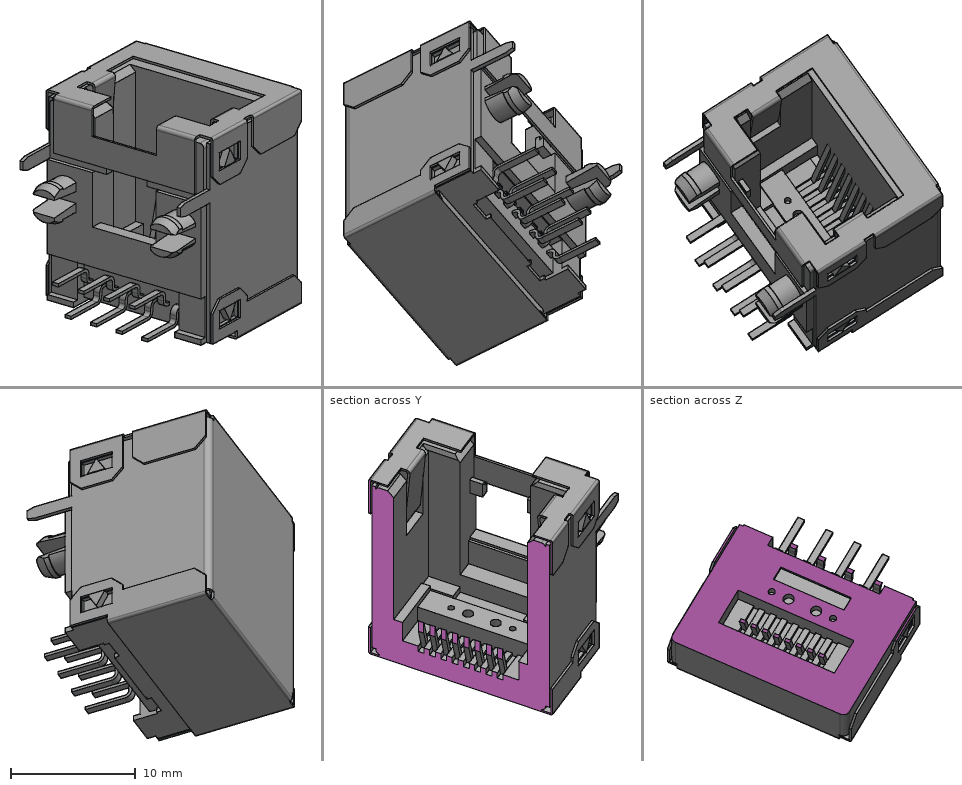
import cadquery as cq
import math


WIDTH = 16.6
HALF_WIDTH = WIDTH / 2
HEIGHT = 18.8
BACK = 13.05
LEAD_TIP = -3.25
OVERSHOOT = 0.19

SHEET = 0.2
BEND_RADIUS = 0.23
WALL_OUTER = 7.99
WALL_INNER = 7.65
WALL_BOTTOM = 0.75
WALL_TOP = 18.24
WALL_FRONT = 0.73
WALL_CORNER_RADIUS = 0.56
PLATE_BACK = 12.78
BACK_TAB_HALF = 7.31
BOTTOM_PLATE_FRONT = 4.05

FLAP_CHAMFER = 0.98
FRONT_FLAP_BACK = 5.41
REAR_FLAP_FRONT = 6.28
UPPER_FRONT_FLAP_END = 14.42
UPPER_REAR_FLAP_END = 15.12
LOWER_FRONT_FLAP_END = 4.36
LOWER_REAR_FLAP_END = 2.88
FLAP_GAP_DEPTH = 0.35

LATCH_CENTER_Y = 3.06
LATCH_WIDTH = 2.82
LATCH_HEIGHT = 1.6
UPPER_LATCH_BOTTOM = 15.65
LOWER_LATCH_TOP = 3.37
BARB_HALF_WIDTH = 0.77
UPPER_BARB_BASE = 15.72
LOWER_BARB_BASE = 3.35
BARB_HEIGHT = 1.33

APRON_HALF = 7.01
APRON_BOTTOM = 13.8
APRON_BEND = 0.32
APRON_NOTCH_HALF = 3.21
APRON_NOTCH_BOTTOM = 16.25

TAB_TOP = 14.21
TAB_BOTTOM = 13.05
TAB_TAPER_LENGTH = 0.65
TAB_TAPER = 0.2

OPENING_HALF = 6.56
OPENING_FRONT = 2.61
OPENING_BACK = 10.17
CAVITY_HALF = 6.0
CAVITY_FRONT = 2.84
CAVITY_BACK = 9.75
CAVITY_FLOOR = 4.6
SHELF_FLOOR = 4.32
FRONT_LEAD_IN_BOTTOM = 17.88
SIDE_LEAD_IN_BOTTOM = 17.71

TONGUE_FRONT = 3.9
TONGUE_BACK = 6.65
TONGUE_EDGE = 6.07
TONGUE_BEND = 0.34
TONGUE_BOTTOM = 12.78
TONGUE_SPREAD = 0.47
TONGUE_SLOT_DEPTH = 0.75
TONGUE_SLOT_BOTTOM = 11.85
TONGUE_CLEARANCE = 0.08

HOUSING_BACK = BACK - SHEET
HOUSING_CORNER_RADIUS = 0.38
UPPER_FACE = 0.38
STEP_TOP = 13.08
STEP_BOTTOM = 4.81
LOWER_FACE = 0.58
FOOT_TOP = 1.25
BASE_CORNER_RADIUS = 0.53

CHANNEL_HALF = 3.15
CHANNEL_BOTTOM = 8.31
CHANNEL_WALL = 1.13
CHANNEL_PIT_FRONT = 1.35
CHANNEL_PIT_BOTTOM = 5.64
SILL_BOTTOM = 8.08
TROUGH_BOTTOM = 3.76
CORNER_BLOCK_INNER = 2.01
CORNER_BLOCK_TOP = 14.1
CORNER_BLOCK_STEP = 0.38

WELL_HALF = 5.2
WELL_FRONT = 4.1
WELL_STEP = 6.35
WELL_FLOOR = 4.14
COMB_TOP = 2.63
COMB_RAMP = 0.7
COMB_DROP = 0.25
CONTACT_COUNT = 8
CONTACT_PITCH = 1.02
CONTACT_WIDTH = 0.49
CONTACT_THICKNESS = 0.28
CONTACT_SLOT_FLOOR = 2.07
CONTACT_BEND_Y = 8.15
CONTACT_TOP = 8.08
HOLE_Y = 5.23
HOLE_DEPTH = 0.75
SMALL_HOLE_X = 2.76
SMALL_HOLE_RADIUS = 0.26
LARGE_HOLE_X = 1.25
LARGE_HOLE_RADIUS = 0.43

POCKET_HALF = 5.04
POCKET_BACK = 1.45
POCKET_TOP = 4.66
POCKET_RIM = 4.17
POCKET_RIM_DEPTH = 0.38
CONTACT_END_HEIGHT = 0.19
POCKET_BASE = 1.17
BASE_SETBACK = 2.16
BASE_GROOVE_HALF = 2.82
BASE_GROOVE_DEPTH = 0.41
BASE_RIB = 0.19
LEAD_COUNT = 8
LEAD_ROW_SPAN = 8.9
LEAD_PITCH = LEAD_ROW_SPAN / (LEAD_COUNT - 1)
LEAD_WIDTH = 0.6
LEAD_THICKNESS = 0.28
LEAD_EXIT_Z = 2.84
LEAD_ROW_OFFSET = 1.26
LEAD_BEND_Y = 0.75
LEAD_BEND_RADIUS = 0.34

PEG_X = 5.73
PEG_Z = 10.49
PEG_RADIUS = 1.62
PEG_RIDGE_RADIUS = 1.73
PEG_TIP_RADIUS = 1.41
PEG_RIDGE_START = -1.75
PEG_RIDGE_END = -2.18
PEG_TIP = -2.95
PEG_INNER_FLAT = 4.78
PEG_OUTER_FLAT = 7.1
PEG_TIP_CHAMFER = 0.28
PEG_SLOT_ROOT = 0.5
PEG_SLOT_TIP = 0.77


def block(x0, x1, y0, y1, z0, z1):
    """Box between opposite corners."""
    return cq.Workplane("XY").box(x1 - x0, y1 - y0, z1 - z0, centered=False).translate((x0, y0, z0))


def centered_block(half, y0, y1, z0, z1):
    return block(-half, half, y0, y1, z0, z1)


def side_profile(points, x0, x1):
    """Prism along X from an outline of (y, z) points."""
    return cq.Workplane("YZ").polyline(points).close().extrude(x1 - x0).translate((x0, 0, 0))


def front_profile(points, y0, y1):
    """Prism along Y from an outline of (x, z) points."""
    return cq.Workplane("XZ").polyline(points).close().extrude(y0 - y1).translate((0, y0, 0))


def both_sides(shape):
    """The shape together with its mirror image across the middle plane."""
    return shape.union(shape.mirror("YZ"))


def row_positions(count, pitch):
    return [(index - (count - 1) / 2) * pitch for index in range(count)]


def housing():
    outline = [
        (HOUSING_BACK, WALL_TOP),
        (UPPER_FACE, WALL_TOP),
        (UPPER_FACE, STEP_TOP),
        (0, STEP_TOP),
        (0, STEP_BOTTOM),
        (LOWER_FACE, STEP_BOTTOM),
        (LOWER_FACE, FOOT_TOP),
        (0, FOOT_TOP),
        (0, WALL_BOTTOM),
        (HOUSING_BACK, WALL_BOTTOM),
    ]
    body = side_profile(outline, -WALL_INNER, WALL_INNER)
    body = body.edges("|Y and >Z").fillet(HOUSING_CORNER_RADIUS)
    base = centered_block(WALL_INNER, BOTTOM_PLATE_FRONT, HOUSING_BACK, SHEET, WALL_BOTTOM)
    base = base.edges("|Y and <Z").fillet(BASE_CORNER_RADIUS)
    return body.union(base)


def lead_in(half, y0, y1):
    """Flared mouth above an opening of the given half width."""
    flared = half + OPENING_HALF - CAVITY_HALF
    outline = [
        (half, SIDE_LEAD_IN_BOTTOM),
        (flared, WALL_TOP),
        (-flared, WALL_TOP),
        (-half, SIDE_LEAD_IN_BOTTOM),
    ]
    return front_profile(outline, y0, y1)


def plug_cavity():
    cavity = centered_block(CAVITY_HALF, CAVITY_FRONT, CAVITY_BACK, CAVITY_FLOOR, HEIGHT)
    front_shelf = centered_block(CAVITY_HALF, CAVITY_FRONT, WELL_FRONT, SHELF_FLOOR, CAVITY_FLOOR)
    side_lead_in = lead_in(CAVITY_HALF, CAVITY_FRONT, CAVITY_BACK)
    front_lead_in = side_profile(
        [
            (OPENING_FRONT, WALL_TOP),
            (CAVITY_FRONT, FRONT_LEAD_IN_BOTTOM),
            (CAVITY_FRONT, WALL_TOP),
        ],
        -OPENING_HALF,
        OPENING_HALF,
    )
    slot = block(
        CAVITY_HALF - OVERSHOOT,
        CAVITY_HALF + TONGUE_SLOT_DEPTH,
        TONGUE_FRONT - TONGUE_CLEARANCE,
        TONGUE_BACK + TONGUE_CLEARANCE,
        TONGUE_SLOT_BOTTOM,
        WALL_TOP,
    )
    return cavity.union(front_shelf).union(side_lead_in).union(front_lead_in).union(both_sides(slot))


def latch_channel():
    """Channel for the plug's latch, open to the front, with two blocks left in its corners."""
    channel = centered_block(CHANNEL_HALF, -OVERSHOOT, CAVITY_FRONT, CHANNEL_BOTTOM, HEIGHT)
    sill = centered_block(CHANNEL_HALF, CHANNEL_WALL, CHANNEL_PIT_FRONT, SILL_BOTTOM, CHANNEL_BOTTOM)
    pit = centered_block(CHANNEL_HALF, CHANNEL_PIT_FRONT, CAVITY_FRONT, CHANNEL_PIT_BOTTOM, CHANNEL_BOTTOM)
    trough = centered_block(CHANNEL_HALF, CAVITY_FRONT, WELL_FRONT, TROUGH_BOTTOM, CHANNEL_BOTTOM)
    corner = side_profile(
        [
            (UPPER_FACE, STEP_TOP),
            (UPPER_FACE, CORNER_BLOCK_TOP),
            (WALL_FRONT, CORNER_BLOCK_TOP),
            (WALL_FRONT, CORNER_BLOCK_TOP + CORNER_BLOCK_STEP),
            (CHANNEL_WALL, CORNER_BLOCK_TOP + CORNER_BLOCK_STEP),
            (CHANNEL_WALL, STEP_TOP),
        ],
        CORNER_BLOCK_INNER,
        CHANNEL_HALF,
    )
    channel = channel.union(sill).union(pit).union(trough)
    return channel.union(lead_in(CHANNEL_HALF, UPPER_FACE, CAVITY_FRONT)).cut(both_sides(corner))


def contact_well():
    """Recess in the cavity floor: a shelf with round holes and a slotted comb for the contacts."""
    well = centered_block(WELL_HALF, WELL_FRONT, WELL_STEP, WELL_FLOOR, CAVITY_FLOOR)
    comb = side_profile(
        [
            (WELL_STEP, CAVITY_FLOOR),
            (WELL_STEP, COMB_TOP),
            (CAVITY_BACK - COMB_RAMP, COMB_TOP),
            (CAVITY_BACK, COMB_TOP - COMB_DROP),
            (CAVITY_BACK, CAVITY_FLOOR),
        ],
        -WELL_HALF,
        WELL_HALF,
    )
    well = well.union(comb)
    for x in row_positions(CONTACT_COUNT, CONTACT_PITCH):
        half = CONTACT_WIDTH / 2
        slot = block(x - half, x + half, WELL_STEP, CAVITY_BACK, CONTACT_SLOT_FLOOR, CAVITY_FLOOR)
        well = well.union(slot)
    for x, radius in ((SMALL_HOLE_X, SMALL_HOLE_RADIUS), (LARGE_HOLE_X, LARGE_HOLE_RADIUS)):
        hole = cq.Workplane("XY").circle(radius).extrude(HOLE_DEPTH)
        well = well.union(both_sides(hole.translate((x, HOLE_Y, WELL_FLOOR - HOLE_DEPTH))))
    return well


def lead_pocket():
    pocket = centered_block(POCKET_HALF, -OVERSHOOT, POCKET_BACK, WALL_BOTTOM, POCKET_TOP)
    rim = centered_block(POCKET_HALF, POCKET_BACK, POCKET_BACK + POCKET_RIM_DEPTH, POCKET_RIM, POCKET_TOP)
    for x in row_positions(CONTACT_COUNT, CONTACT_PITCH):
        half = CONTACT_WIDTH / 2
        contact_end = block(
            x - half,
            x + half,
            POCKET_BACK,
            POCKET_BACK + POCKET_RIM_DEPTH,
            POCKET_TOP - CONTACT_END_HEIGHT,
            POCKET_TOP,
        )
        rim = rim.cut(contact_end)
    underside = centered_block(POCKET_HALF, POCKET_BACK, BASE_SETBACK, WALL_BOTTOM, POCKET_BASE)
    groove = side_profile(
        [
            (BASE_SETBACK, WALL_BOTTOM),
            (BASE_SETBACK + BASE_GROOVE_DEPTH, POCKET_BASE),
            (BASE_SETBACK, POCKET_BASE),
        ],
        -BASE_GROOVE_HALF,
        BASE_GROOVE_HALF,
    )
    side_recess = block(
        BASE_GROOVE_HALF + BASE_RIB,
        POCKET_HALF - BASE_RIB,
        BASE_SETBACK,
        BASE_SETBACK + BASE_GROOVE_DEPTH,
        WALL_BOTTOM,
        POCKET_BASE,
    )
    return pocket.union(rim).union(underside).union(groove).union(both_sides(side_recess))


def contacts():
    """Springs that slope from the cavity's back wall down into the comb slots."""
    outline = [
        (CAVITY_BACK, CONTACT_TOP),
        (CONTACT_BEND_Y, CONTACT_SLOT_FLOOR + CONTACT_THICKNESS),
        (WELL_STEP, CONTACT_SLOT_FLOOR + CONTACT_THICKNESS),
        (WELL_STEP, CONTACT_SLOT_FLOOR),
        (CONTACT_BEND_Y + CONTACT_THICKNESS, CONTACT_SLOT_FLOOR),
        (CAVITY_BACK + OVERSHOOT, CONTACT_TOP - CONTACT_THICKNESS),
    ]
    springs = cq.Workplane("XY")
    for x in row_positions(CONTACT_COUNT, CONTACT_PITCH):
        springs = springs.union(side_profile(outline, x - CONTACT_WIDTH / 2, x + CONTACT_WIDTH / 2))
    return springs


def lead(x, direction):
    """Lead leaving the pocket, turning up or down, then running straight through the board."""
    half = LEAD_THICKNESS / 2
    row_z = LEAD_EXIT_Z + direction * LEAD_ROW_OFFSET
    near = direction * half
    outline = [
        (POCKET_BACK + POCKET_RIM_DEPTH, LEAD_EXIT_Z - near),
        (LEAD_BEND_Y - half, LEAD_EXIT_Z - near),
        (LEAD_BEND_Y - half, row_z - near),
        (LEAD_TIP, row_z - near),
        (LEAD_TIP, row_z + near),
        (LEAD_BEND_Y + half, row_z + near),
        (LEAD_BEND_Y + half, LEAD_EXIT_Z + near),
        (POCKET_BACK + POCKET_RIM_DEPTH, LEAD_EXIT_Z + near),
    ]
    strip = side_profile(outline, x - LEAD_WIDTH / 2, x + LEAD_WIDTH / 2)
    inside = [(LEAD_BEND_Y - half, row_z - near), (LEAD_BEND_Y + half, LEAD_EXIT_Z + near)]
    outside = [(LEAD_BEND_Y - half, LEAD_EXIT_Z - near), (LEAD_BEND_Y + half, row_z + near)]
    for corners, radius in ((inside, LEAD_BEND_RADIUS), (outside, LEAD_BEND_RADIUS + LEAD_THICKNESS)):
        for y, z in corners:
            strip = strip.edges(cq.selectors.NearestToPointSelector((x, y, z))).fillet(radius)
    return strip


def peg():
    """Split snap-in peg on the +X side: ridged round post with flats and a flaring slot."""
    post = (
        cq.Workplane("XY")
        .moveTo(0, WALL_FRONT)
        .lineTo(PEG_RADIUS, WALL_FRONT)
        .lineTo(PEG_RADIUS, PEG_RIDGE_START)
        .lineTo(PEG_RIDGE_RADIUS, PEG_RIDGE_START)
        .lineTo(PEG_RIDGE_RADIUS, PEG_RIDGE_END)
        .lineTo(PEG_TIP_RADIUS, PEG_TIP)
        .lineTo(0, PEG_TIP)
        .close()
        .revolve(360, (0, 0, 0), (0, 1, 0))
        .translate((PEG_X, 0, PEG_Z))
    )
    flats = block(
        PEG_INNER_FLAT,
        PEG_OUTER_FLAT,
        PEG_TIP,
        WALL_FRONT,
        PEG_Z - PEG_RIDGE_RADIUS,
        PEG_Z + PEG_RIDGE_RADIUS,
    )
    flats = flats.edges(">X and <Y").chamfer(PEG_TIP_CHAMFER)
    slot = side_profile(
        [
            (0, PEG_Z - PEG_SLOT_ROOT),
            (0, PEG_Z + PEG_SLOT_ROOT),
            (PEG_TIP, PEG_Z + PEG_SLOT_TIP),
            (PEG_TIP, PEG_Z - PEG_SLOT_TIP),
        ],
        PEG_INNER_FLAT,
        PEG_OUTER_FLAT,
    )
    return post.intersect(flats).cut(slot)


def wrap():
    """Side walls and back wall bent from one sheet, with a solder tab on each side."""
    shell = centered_block(WALL_OUTER, WALL_FRONT, BACK, WALL_BOTTOM, WALL_TOP)
    shell = shell.edges("|Z and >Y").fillet(WALL_CORNER_RADIUS)
    shell = shell.cut(centered_block(WALL_INNER, WALL_FRONT, HOUSING_BACK, WALL_BOTTOM, WALL_TOP))
    taper_start = LEAD_TIP + TAB_TAPER_LENGTH
    tab = side_profile(
        [
            (WALL_FRONT, TAB_TOP),
            (taper_start, TAB_TOP),
            (LEAD_TIP, TAB_TOP - TAB_TAPER),
            (LEAD_TIP, TAB_BOTTOM + TAB_TAPER),
            (taper_start, TAB_BOTTOM),
            (WALL_FRONT, TAB_BOTTOM),
        ],
        WALL_INNER,
        WALL_OUTER,
    )
    return shell.union(both_sides(tab))


def back_tab():
    """Flat strip that carries the back wall up to the top plate and down to the bottom plate."""
    strip = centered_block(BACK_TAB_HALF, HOUSING_BACK - SHEET, BACK, 0, HEIGHT)
    return strip.edges("|X and >Y").fillet(BEND_RADIUS)


def plate(z_edge, z_outer, bent_edges):
    """Plate with its outer face at z_outer and both sides turned to z_edge, as a channel along Y."""
    z0, z1 = sorted((z_edge, z_outer))
    channel = centered_block(HALF_WIDTH, WALL_FRONT, PLATE_BACK, z0, z1)
    channel = channel.edges("|Y").edges(bent_edges).fillet(BEND_RADIUS)
    toward_edge = math.copysign(SHEET, z_edge - z_outer)
    inner0, inner1 = sorted((z_edge, z_outer + toward_edge))
    return channel.cut(centered_block(HALF_WIDTH - SHEET, WALL_FRONT, PLATE_BACK, inner0, inner1))


def upper_cover():
    cover = plate(UPPER_FRONT_FLAP_END, HEIGHT, ">Z")
    front_flap = [
        (WALL_FRONT, HEIGHT),
        (WALL_FRONT, UPPER_FRONT_FLAP_END + FLAP_CHAMFER),
        (WALL_FRONT + FLAP_CHAMFER, UPPER_FRONT_FLAP_END),
        (FRONT_FLAP_BACK - FLAP_CHAMFER, UPPER_FRONT_FLAP_END),
        (FRONT_FLAP_BACK, UPPER_FRONT_FLAP_END + FLAP_CHAMFER),
        (FRONT_FLAP_BACK, HEIGHT),
    ]
    rear_flap = [
        (REAR_FLAP_FRONT, HEIGHT),
        (REAR_FLAP_FRONT, UPPER_REAR_FLAP_END + FLAP_CHAMFER),
        (REAR_FLAP_FRONT + FLAP_CHAMFER, UPPER_REAR_FLAP_END),
        (PLATE_BACK - FLAP_CHAMFER, UPPER_REAR_FLAP_END),
        (PLATE_BACK, UPPER_REAR_FLAP_END + FLAP_CHAMFER),
        (PLATE_BACK, HEIGHT),
    ]
    middle = HALF_WIDTH - FLAP_GAP_DEPTH
    kept = centered_block(middle, WALL_FRONT, PLATE_BACK, HEIGHT - SHEET, HEIGHT)
    for outline in (front_flap, rear_flap):
        kept = kept.union(side_profile(outline, -HALF_WIDTH, HALF_WIDTH))
    cover = cover.intersect(kept)
    cover = cover.union(apron())
    cover = cover.cut(centered_block(OPENING_HALF, OPENING_FRONT, OPENING_BACK, HEIGHT - SHEET, HEIGHT))
    notch = centered_block(APRON_NOTCH_HALF, 0, OPENING_FRONT, APRON_NOTCH_BOTTOM, HEIGHT)
    return cover.cut(notch).union(both_sides(tongue()))


def apron():
    """Front edge of the top plate, turned down over the housing."""
    sheet = centered_block(APRON_HALF, 0, OPENING_FRONT, APRON_BOTTOM, HEIGHT)
    sheet = sheet.edges("|X and >Z and <Y").fillet(APRON_BEND)
    return sheet.cut(centered_block(APRON_HALF, SHEET, OPENING_FRONT, APRON_BOTTOM, HEIGHT - SHEET))


def tongue():
    """Ground spring on the +X side of the opening, curling down from the top plate into its slot."""
    inner = TONGUE_EDGE - TONGUE_BEND
    curve = TONGUE_BEND * (1 - math.sqrt(0.5))
    strip = (
        cq.Workplane("XZ")
        .moveTo(OPENING_HALF, HEIGHT)
        .lineTo(TONGUE_EDGE, HEIGHT)
        .threePointArc((inner + curve, HEIGHT - curve), (inner, HEIGHT - TONGUE_BEND))
        .lineTo(inner + TONGUE_SPREAD, TONGUE_BOTTOM)
        .lineTo(inner + TONGUE_SPREAD + SHEET, TONGUE_BOTTOM)
        .lineTo(inner + SHEET, HEIGHT - TONGUE_BEND)
        .lineTo(TONGUE_EDGE, HEIGHT - SHEET)
        .lineTo(OPENING_HALF, HEIGHT - SHEET)
        .close()
        .extrude(TONGUE_FRONT - TONGUE_BACK)
    )
    return strip.translate((0, TONGUE_FRONT, 0))


def lower_cover():
    cover = plate(LOWER_FRONT_FLAP_END, 0, "<Z")
    outline = [
        (BOTTOM_PLATE_FRONT, 0),
        (BOTTOM_PLATE_FRONT, WALL_BOTTOM),
        (WALL_FRONT, WALL_BOTTOM),
        (WALL_FRONT, LOWER_FRONT_FLAP_END - FLAP_CHAMFER),
        (WALL_FRONT + FLAP_CHAMFER, LOWER_FRONT_FLAP_END),
        (FRONT_FLAP_BACK - FLAP_CHAMFER, LOWER_FRONT_FLAP_END),
        (FRONT_FLAP_BACK, LOWER_FRONT_FLAP_END - FLAP_CHAMFER),
        (FRONT_FLAP_BACK, LOWER_REAR_FLAP_END),
        (PLATE_BACK - FLAP_CHAMFER, LOWER_REAR_FLAP_END),
        (PLATE_BACK, LOWER_REAR_FLAP_END - FLAP_CHAMFER),
        (PLATE_BACK, 0),
    ]
    return cover.intersect(side_profile(outline, -HALF_WIDTH, HALF_WIDTH))


def latch_windows():
    """Openings through the cover flaps and side walls."""
    half = LATCH_WIDTH / 2
    windows = cq.Workplane("XY")
    for bottom in (UPPER_LATCH_BOTTOM, LOWER_LATCH_TOP - LATCH_HEIGHT):
        window = block(
            WALL_INNER,
            HALF_WIDTH,
            LATCH_CENTER_Y - half,
            LATCH_CENTER_Y + half,
            bottom,
            bottom + LATCH_HEIGHT,
        )
        windows = windows.union(both_sides(window))
    return windows


def barb(z_base, direction):
    """Triangular barb in a +X window, flat at z_base and pointing in the given Z direction."""
    outline = [
        (LATCH_CENTER_Y - BARB_HALF_WIDTH, z_base),
        (LATCH_CENTER_Y + BARB_HALF_WIDTH, z_base),
        (LATCH_CENTER_Y, z_base + direction * BARB_HEIGHT),
    ]
    return side_profile(outline, WALL_INNER, HALF_WIDTH)


result = housing()
for hollow in (plug_cavity(), latch_channel(), contact_well(), lead_pocket()):
    result = result.cut(hollow)

shield = wrap().union(back_tab()).union(upper_cover()).union(lower_cover()).cut(latch_windows())
for addition in (shield, contacts(), both_sides(peg())):
    result = result.union(addition)

for index, lead_x in enumerate(row_positions(LEAD_COUNT, LEAD_PITCH)):
    result = result.union(lead(lead_x, 1 if index % 2 == 0 else -1))

for barb_base, barb_direction in ((UPPER_BARB_BASE, 1), (LOWER_BARB_BASE, -1)):
    result = result.union(both_sides(barb(barb_base, barb_direction)))